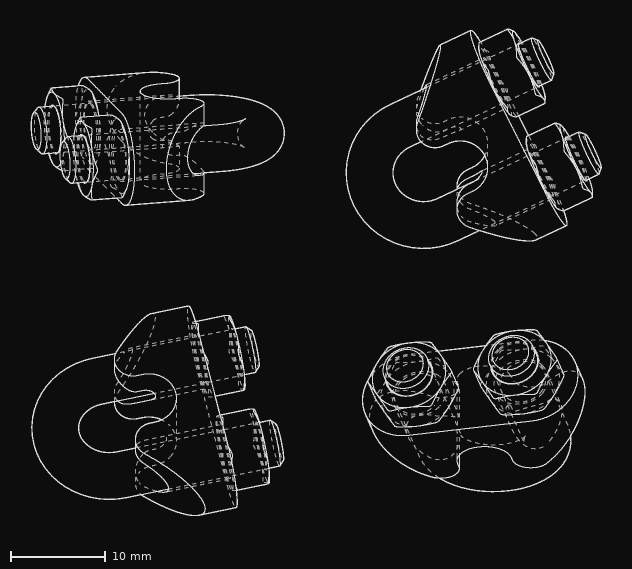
import cadquery as cq
import math


ROD_RADIUS = 2.5
LEG_SPACING = 11.5
LEG_LENGTH_ABOVE_SEAT = 11.25
LEG_LENGTH_BELOW_SEAT = 6.0
ROD_END_CHAMFER = 0.5
LEG_X = LEG_SPACING / 2
LEG_POSITIONS = (-LEG_X, LEG_X)

SADDLE_LENGTH = 23.5
SADDLE_THICKNESS = 10.0
SADDLE_HEIGHT = 9.5
SADDLE_END_HEIGHT = 3.5
LEG_HOLE_RADIUS = 2.7
LEG_HOLE_STRETCH = 0.5
LEG_HOLE_X = 5.55
LOBE_RADIUS = 2.0
ROPE_SLOT_FLOOR = 4.0

NUT_ACROSS_FLATS = 8.0
NUT_HEIGHT = 4.0
NUT_BORE_CHAMFER = 0.1
NUT_CORNER_RADIUS = 0.5
NUT_CHAMFER_ANGLE = 30.0

OVERCUT = 1.0


def rod_along_y(radius, x, y_start, y_end):
    """Solid cylinder parallel to Y, centred at X = x and Z = 0."""
    return (
        cq.Workplane("XZ", origin=(x, y_start, 0))
        .circle(radius)
        .extrude(y_start - y_end)
    )


def make_u_bolt():
    """Two straight legs with chamfered ends, joined by a half-torus bend."""
    u_bolt = (
        cq.Workplane("XZ", origin=(-LEG_X, LEG_LENGTH_ABOVE_SEAT, 0))
        .circle(ROD_RADIUS)
        .revolve(180, (LEG_X, 1, 0), (LEG_X, 0, 0))
    )
    for x in LEG_POSITIONS:
        leg = rod_along_y(ROD_RADIUS, x, -LEG_LENGTH_BELOW_SEAT, LEG_LENGTH_ABOVE_SEAT)
        u_bolt = u_bolt.union(leg.faces("<Y").chamfer(ROD_END_CHAMFER))
    return u_bolt


def make_saddle_profile():
    """Side outline in XY: 45 degree shoulders, two round lobes and a rope slot between them."""
    half_length = SADDLE_LENGTH / 2
    lobe_y = SADDLE_HEIGHT - LOBE_RADIUS
    lobe_x = half_length + SADDLE_END_HEIGHT - lobe_y - LOBE_RADIUS * math.sqrt(2)
    tangent_offset = LOBE_RADIUS / math.sqrt(2)
    shoulder_x = lobe_x + tangent_offset
    shoulder_y = lobe_y + tangent_offset
    slot_radius = lobe_x - LOBE_RADIUS
    slot_y = ROPE_SLOT_FLOOR + slot_radius
    middle_angle = math.radians((45 + 180) / 2)
    middle_x = lobe_x + LOBE_RADIUS * math.cos(middle_angle)
    middle_y = lobe_y + LOBE_RADIUS * math.sin(middle_angle)
    return (
        cq.Workplane("XY", origin=(0, 0, -SADDLE_THICKNESS / 2))
        .moveTo(-half_length, 0)
        .lineTo(half_length, 0)
        .lineTo(half_length, SADDLE_END_HEIGHT)
        .lineTo(shoulder_x, shoulder_y)
        .threePointArc((middle_x, middle_y), (slot_radius, lobe_y))
        .lineTo(slot_radius, slot_y)
        .threePointArc((0, ROPE_SLOT_FLOOR), (-slot_radius, slot_y))
        .lineTo(-slot_radius, lobe_y)
        .threePointArc((-middle_x, middle_y), (-shoulder_x, shoulder_y))
        .lineTo(-half_length, SADDLE_END_HEIGHT)
        .close()
    )


def make_saddle():
    """Stadium-shaped block trimmed to the side outline, with a stretched hole for each leg."""
    block = (
        cq.Workplane("XZ")
        .slot2D(SADDLE_LENGTH, SADDLE_THICKNESS)
        .extrude(-SADDLE_HEIGHT)
    )
    leg_holes = (
        cq.Workplane("XZ")
        .pushPoints([(-LEG_HOLE_X, 0), (LEG_HOLE_X, 0)])
        .slot2D(2 * LEG_HOLE_RADIUS + LEG_HOLE_STRETCH, 2 * LEG_HOLE_RADIUS)
        .extrude(-SADDLE_HEIGHT)
    )
    return block.intersect(make_saddle_profile().extrude(SADDLE_THICKNESS)).cut(leg_holes)


def make_nut(x):
    """Hexagon nut below the seat, corners rounded and both faces chamfered conically."""
    flat_radius = NUT_ACROSS_FLATS / 2
    corner_radius = flat_radius / math.cos(math.radians(30))
    chamfer_height = (corner_radius - flat_radius) * math.tan(math.radians(NUT_CHAMFER_ANGLE))
    hexagon = (
        cq.Workplane("XZ", origin=(x, 0, 0))
        .polygon(6, 2 * corner_radius)
        .extrude(NUT_HEIGHT)
        .edges("|Y")
        .fillet(NUT_CORNER_RADIUS)
    )
    chamfered_blank = (
        cq.Workplane("XY", origin=(x, 0, 0))
        .moveTo(0, 0)
        .lineTo(flat_radius, 0)
        .lineTo(corner_radius, -chamfer_height)
        .lineTo(corner_radius, chamfer_height - NUT_HEIGHT)
        .lineTo(flat_radius, -NUT_HEIGHT)
        .lineTo(0, -NUT_HEIGHT)
        .close()
        .revolve(360, (0, 0, 0), (0, 1, 0))
    )
    bore = rod_along_y(ROD_RADIUS, x, -NUT_HEIGHT - OVERCUT, OVERCUT)
    nut = hexagon.intersect(chamfered_blank).cut(bore)
    bore_rim = nut.faces("<Y").edges(cq.selectors.RadiusNthSelector(0))
    return bore_rim.chamfer(NUT_BORE_CHAMFER)


u_bolt = make_u_bolt()
saddle = make_saddle()
nuts = [make_nut(x) for x in LEG_POSITIONS]

result = cq.Compound.makeCompound([u_bolt.val(), saddle.val(), *[nut.val() for nut in nuts]])